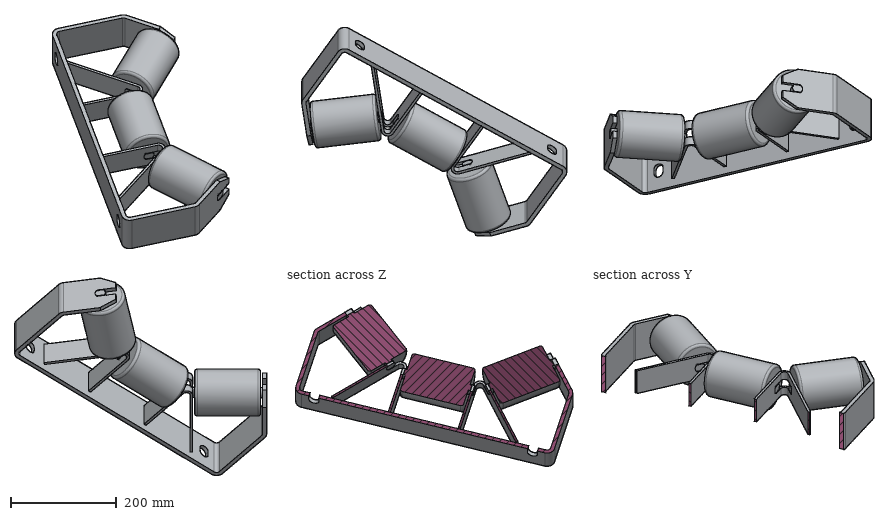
import cadquery as cq
import math

ROLLER_DIAMETER = 89.0
ROLLER_LENGTH = 125.0
ROLLER_FILLET = 5.0
ROLLER_GAP = 3.5
AXLE_DIAMETER = 20.0
AXLE_FLAT_WIDTH = 14.0
TILT = math.radians(40)

FRAME_LENGTH = 510.0
FRAME_WIDTH = 80.0
FRAME_THICKNESS = 8.0
FRAME_BEND_RADIUS = 15.5
ARM_PAST_AXLE = 29.5
TIP_CHAMFER_LENGTH = 30.0
TIP_CHAMFER_WIDTH = 17.5
MOUNT_SLOT_SPACING = 430.5
MOUNT_SLOT_WIDTH = 20.0
MOUNT_SLOT_LENGTH = 27.0

BRACKET_WIDTH = 50.0
BRACKET_THICKNESS = 5.0
BRACKET_BEND_RADIUS = 12.0
BRACKET_BEND_Y = 118.5
AXLE_BELOW_BEND = 17.0

SLOT_WIDTH = 17.0

AXIS = cq.Vector(-math.cos(TILT), math.sin(TILT))
UP_PLATE = cq.Vector(math.sin(TILT), math.cos(TILT))
ALONG_Y = cq.Vector(0, 1)
TO_LEFT = cq.Vector(-1, 0)

REACH = ROLLER_LENGTH / 2 + ROLLER_GAP
BRACKET_BEND = cq.Vector(-REACH - BRACKET_BEND_RADIUS, BRACKET_BEND_Y)
CENTRE_ROLLER = cq.Vector(0, BRACKET_BEND_Y - AXLE_BELOW_BEND)
LEFT_ROLLER = BRACKET_BEND + AXIS * (BRACKET_BEND_RADIUS + REACH) - UP_PLATE * AXLE_BELOW_BEND
RIGHT_ROLLER = cq.Vector(-LEFT_ROLLER.x, LEFT_ROLLER.y)

UPPER_BEND_X = -FRAME_LENGTH / 2 + FRAME_BEND_RADIUS
UPPER_BEND_OFFSET = REACH + FRAME_THICKNESS - FRAME_BEND_RADIUS
UPPER_BEND_Y = LEFT_ROLLER.y + (
    UPPER_BEND_OFFSET + (UPPER_BEND_X - LEFT_ROLLER.x) * math.cos(TILT)
) / math.sin(TILT)
UPPER_BEND = cq.Vector(UPPER_BEND_X, UPPER_BEND_Y)
LOWER_BEND = cq.Vector(UPPER_BEND_X, FRAME_BEND_RADIUS)


def bisector(first, second):
    """Unit vector halfway between two unit vectors."""
    return (first + second).normalized()


def plate(outline, width):
    """Extrude a closed XY outline evenly about Z = 0."""
    return outline.close().extrude(width / 2, both=True)


def mirrored(body):
    return body.mirror("YZ")


def axle_slot(axle_end, inward, open_direction, length, depth):
    """Slot cutter: round under the axle, straight and open beyond it.

    axle_end lies on the axle where it meets the plate; inward points through the plate.
    """
    plane = cq.Plane(origin=axle_end, xDir=open_direction, normal=inward)
    radius = AXLE_DIAMETER / 2
    side = SLOT_WIDTH / 2
    arc_end = -math.sqrt(radius**2 - side**2)
    return (
        cq.Workplane(plane)
        .moveTo(length, -side)
        .lineTo(arc_end, -side)
        .threePointArc((-radius, 0), (arc_end, side))
        .lineTo(length, side)
        .close()
        .extrude(depth)
    )


def frame_left_half():
    """Left half of the bent strip, from the centre of the base to the arm tip."""
    outer = FRAME_BEND_RADIUS
    inner = FRAME_BEND_RADIUS - FRAME_THICKNESS
    lower_middle = bisector(TO_LEFT, -ALONG_Y)
    upper_middle = bisector(TO_LEFT, AXIS)
    tip_inner = LEFT_ROLLER + AXIS * REACH + UP_PLATE * ARM_PAST_AXLE
    tip_outer = tip_inner + AXIS * FRAME_THICKNESS

    outline = (
        cq.Workplane("XY")
        .moveTo(0, 0)
        .lineTo(LOWER_BEND.x, 0)
        .threePointArc(LOWER_BEND + lower_middle * outer, LOWER_BEND + TO_LEFT * outer)
        .lineTo(-FRAME_LENGTH / 2, UPPER_BEND.y)
        .threePointArc(UPPER_BEND + upper_middle * outer, UPPER_BEND + AXIS * outer)
        .lineTo(tip_outer.x, tip_outer.y)
        .lineTo(tip_inner.x, tip_inner.y)
        .lineTo(*(UPPER_BEND + AXIS * inner).toTuple()[:2])
        .threePointArc(UPPER_BEND + upper_middle * inner, UPPER_BEND + TO_LEFT * inner)
        .lineTo(LOWER_BEND.x - inner, LOWER_BEND.y)
        .threePointArc(LOWER_BEND + lower_middle * inner, LOWER_BEND - ALONG_Y * inner)
        .lineTo(0, FRAME_THICKNESS)
    )
    half = plate(outline, FRAME_WIDTH)
    half = half.cut(tip_corners(tip_inner))
    slot = axle_slot(LEFT_ROLLER + AXIS * REACH, AXIS, UP_PLATE, 2 * ARM_PAST_AXLE, FRAME_THICKNESS)
    return half.cut(slot)


def tip_corners(tip_inner):
    """The two corner triangles removed from the left arm tip."""
    face = cq.Workplane(cq.Plane(origin=tip_inner, xDir=UP_PLATE, normal=AXIS))
    edge = FRAME_WIDTH / 2
    corners = cq.Workplane("XY")
    for side in (-1, 1):
        triangle = face.polyline([
            (0, side * edge),
            (-TIP_CHAMFER_LENGTH, side * edge),
            (0, side * (edge - TIP_CHAMFER_WIDTH)),
        ])
        corners = corners.add(triangle.close().extrude(FRAME_THICKNESS))
    return corners.combine()


def make_frame():
    left = frame_left_half()
    mount_slots = (
        cq.Workplane("XZ")
        .pushPoints([(-MOUNT_SLOT_SPACING / 2, 0), (MOUNT_SLOT_SPACING / 2, 0)])
        .slot2D(MOUNT_SLOT_LENGTH, MOUNT_SLOT_WIDTH, 90)
        .extrude(-FRAME_THICKNESS)
    )
    return left.union(mirrored(left)).cut(mount_slots)


def make_left_bracket():
    """Strip with an upright leg, a bend at the top and a leg sloping down to the base."""
    outer = BRACKET_BEND_RADIUS
    inner = BRACKET_BEND_RADIUS - BRACKET_THICKNESS
    upright_side = -TO_LEFT
    middle = bisector(upright_side, AXIS)

    slope_top = BRACKET_BEND + AXIS * inner
    slope_length = (slope_top.y - FRAME_THICKNESS) / math.cos(TILT)
    foot_inner = slope_top - UP_PLATE * slope_length
    foot_outer = foot_inner + AXIS * BRACKET_THICKNESS

    outline = (
        cq.Workplane("XY")
        .moveTo(-REACH, FRAME_THICKNESS)
        .lineTo(-REACH, BRACKET_BEND.y)
        .threePointArc(BRACKET_BEND + middle * outer, BRACKET_BEND + AXIS * outer)
        .lineTo(foot_outer.x, foot_outer.y)
        .lineTo(foot_inner.x, foot_inner.y)
        .lineTo(slope_top.x, slope_top.y)
        .threePointArc(BRACKET_BEND + middle * inner, BRACKET_BEND + upright_side * inner)
        .lineTo(-REACH - BRACKET_THICKNESS, FRAME_THICKNESS)
    )
    bracket = plate(outline, BRACKET_WIDTH)

    slot_length = AXLE_BELOW_BEND + 2 * BRACKET_BEND_RADIUS
    slot_depth = BRACKET_BEND_RADIUS
    upright_axle = CENTRE_ROLLER + TO_LEFT * REACH
    slope_axle = LEFT_ROLLER - AXIS * REACH
    bracket = bracket.cut(axle_slot(upright_axle, TO_LEFT, ALONG_Y, slot_length, slot_depth))
    return bracket.cut(axle_slot(slope_axle, -AXIS, UP_PLATE, slot_length, slot_depth))


def make_roller(centre, axis, start_plate, end_plate):
    """Drum with axle stubs that end flush with the far faces of the two plates."""
    across = axis.cross(cq.Vector(0, 0, 1))

    def disc(diameter, start, end):
        plane = cq.Plane(origin=centre + axis * start, xDir=across, normal=axis)
        return cq.Workplane(plane).circle(diameter / 2).extrude(end - start)

    def flatted_stub(start, length):
        stub = disc(AXLE_DIAMETER, start, start + length)
        flats = cq.Workplane("XY").box(FRAME_LENGTH, FRAME_LENGTH, AXLE_FLAT_WIDTH)
        return stub.intersect(flats)

    half = ROLLER_LENGTH / 2
    drum = disc(ROLLER_DIAMETER, -half, half).edges("%CIRCLE").fillet(ROLLER_FILLET)
    axle = disc(AXLE_DIAMETER, -REACH, REACH)
    start_stub = flatted_stub(-REACH - start_plate, start_plate)
    end_stub = flatted_stub(REACH, end_plate)
    return drum.union(axle).union(start_stub).union(end_stub)


frame = make_frame()
left_bracket = make_left_bracket()
brackets = [left_bracket, mirrored(left_bracket)]

MIRRORED_AXIS = cq.Vector(-AXIS.x, AXIS.y)
ROLLER_PLACES = [
    (LEFT_ROLLER, AXIS, BRACKET_THICKNESS, FRAME_THICKNESS),
    (CENTRE_ROLLER, TO_LEFT, BRACKET_THICKNESS, BRACKET_THICKNESS),
    (RIGHT_ROLLER, MIRRORED_AXIS, BRACKET_THICKNESS, FRAME_THICKNESS),
]
rollers = [make_roller(*place) for place in ROLLER_PLACES]

result = cq.Compound.makeCompound(
    [frame.val()] + [bracket.val() for bracket in brackets] + [roller.val() for roller in rollers]
)